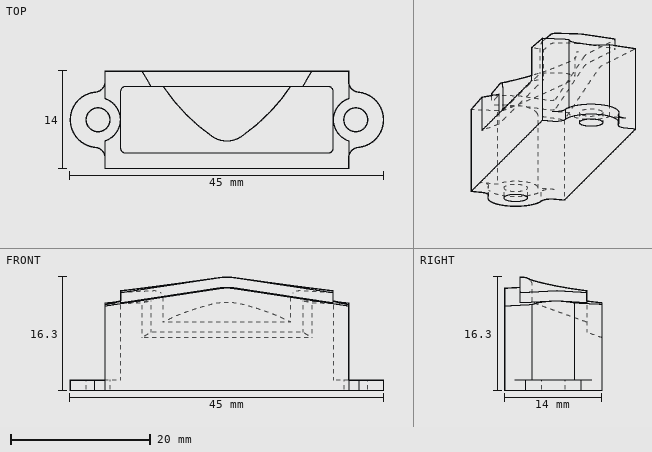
import cadquery as cq
import math

BODY_LENGTH = 35.0
BODY_WIDTH = 14.0

LUG_CENTER_X = 18.5
LUG_RADIUS = 4.0
LUG_THICKNESS = 1.5
LUG_FILLET = 1.5
SCREW_HOLE_DIAMETER = 3.4
HEAD_CLEARANCE_RADIUS = 3.2

PAD_LENGTH = 30.5
PAD_WIDTH = 9.6
PAD_CORNER_RADIUS = 0.75
PAD_RISE = 1.45

CREASE_TIP_Y = -4.5
CREASE_TIP_Z = 16.37
RIDGE_HALF_WIDTH = 1.0
FRONT_SIDE_SLOPE = 0.152
FRONT_RISE = 0.055
REAR_RIDGE_FALL = 0.155
EAVE_CREASE_Y = 2.0
REAR_EAVE_FALL = 0.05

VALLEY_TIP_Y = -3.05
VALLEY_TIP_RADIUS = 3.7
VALLEY_SIDE_ANGLE = 35.0
VALLEY_MOUTH_HALF = 9.15
VALLEY_EDGE_ROUND = 1.1
RIM_LOWEST_Z = 14.5
RIM_HALF_WIDTH = 7.0
RIM_TOLERANCE = 0.1
FLOOR_REAR_Z = 9.83
FLOOR_FALL = 0.36
BODY_VALLEY_INNER_HALF = 10.9
BODY_VALLEY_OUTER_HALF = 12.2

HALF_LENGTH = BODY_LENGTH / 2
REAR_Y = BODY_WIDTH / 2
PAD_REAR_Y = PAD_WIDTH / 2
MARGIN = 1.0
ABOVE_PART = CREASE_TIP_Z + MARGIN


def front_heights(y):
    """Virtual ridge height and eave height of the front gable at y."""
    ridge = CREASE_TIP_Z + FRONT_RISE * (y - CREASE_TIP_Y)
    return ridge, ridge - FRONT_SIDE_SLOPE * HALF_LENGTH


def rear_heights(y):
    """Virtual ridge height and eave height of the rear gable at y."""
    ridge = CREASE_TIP_Z - REAR_RIDGE_FALL * (y - CREASE_TIP_Y)
    eave_at_crease = front_heights(EAVE_CREASE_Y)[1]
    return ridge, eave_at_crease - REAR_EAVE_FALL * (y - EAVE_CREASE_Y)


def gable(heights):
    """Solid below a gable roof, ruled between its two end sections."""
    sections = []
    for y in (-REAR_Y, REAR_Y):
        ridge, eave = heights(y)
        slope = (ridge - eave) / HALF_LENGTH
        shoulder = ridge - slope * RIDGE_HALF_WIDTH
        crown = (ridge + shoulder) / 2
        section = (
            cq.Workplane("XZ", origin=(0, y, 0))
            .moveTo(-HALF_LENGTH, 0)
            .lineTo(HALF_LENGTH, 0)
            .lineTo(HALF_LENGTH, eave)
            .lineTo(RIDGE_HALF_WIDTH, shoulder)
            .threePointArc((0, crown), (-RIDGE_HALF_WIDTH, shoulder))
            .lineTo(-HALF_LENGTH, eave)
            .close()
        )
        sections.append(section.wire().val())
    return cq.Workplane(cq.Solid.makeLoft(sections, True))


def space_above_floor(rear_z):
    """Space above the sloping valley floor, which has height rear_z at the pad's rear edge."""
    low_y = REAR_Y + MARGIN
    high_y = -REAR_Y
    return (
        cq.Workplane("YZ")
        .moveTo(low_y, rear_z - FLOOR_FALL * (low_y - PAD_REAR_Y))
        .lineTo(low_y, ABOVE_PART)
        .lineTo(high_y, ABOVE_PART)
        .lineTo(high_y, rear_z - FLOOR_FALL * (high_y - PAD_REAR_Y))
        .close()
        .extrude(HALF_LENGTH, both=True)
    )


def pad_valley():
    """V-shaped scoop with a round tip, ending at the pad's rear edge."""
    angle = math.radians(VALLEY_SIDE_ANGLE)
    tangent_x = VALLEY_TIP_RADIUS * math.sin(angle)
    tangent_y = VALLEY_TIP_Y + VALLEY_TIP_RADIUS * (1 - math.cos(angle))
    chord_x = VALLEY_MOUTH_HALF - tangent_x
    chord_y = PAD_REAR_Y - tangent_y
    half_turn = math.atan2(chord_y, chord_x) - angle
    bulge = math.tan(half_turn / 2) / 2
    flank_mid_x = tangent_x + chord_x / 2 + bulge * chord_y
    flank_mid_y = tangent_y + chord_y / 2 - bulge * chord_x
    plan = (
        cq.Workplane("XY")
        .moveTo(-tangent_x, tangent_y)
        .threePointArc((0, VALLEY_TIP_Y), (tangent_x, tangent_y))
        .threePointArc((flank_mid_x, flank_mid_y), (VALLEY_MOUTH_HALF, PAD_REAR_Y))
        .lineTo(-VALLEY_MOUTH_HALF, PAD_REAR_Y)
        .threePointArc((-flank_mid_x, flank_mid_y), (-tangent_x, tangent_y))
        .close()
        .extrude(ABOVE_PART)
    )
    return plan.intersect(space_above_floor(FLOOR_REAR_Z))


def body_valley():
    """Wider continuation of the valley through the body behind the pad."""
    plan = (
        cq.Workplane("XY")
        .moveTo(-BODY_VALLEY_INNER_HALF, PAD_REAR_Y)
        .lineTo(BODY_VALLEY_INNER_HALF, PAD_REAR_Y)
        .lineTo(BODY_VALLEY_OUTER_HALF, REAR_Y)
        .lineTo(-BODY_VALLEY_OUTER_HALF, REAR_Y)
        .close()
        .extrude(ABOVE_PART)
    )
    return plan.intersect(space_above_floor(FLOOR_REAR_Z - PAD_RISE))


def make_pad(roof):
    """Rounded pad under the roof, with the valley's upper edges rounded over."""
    pad = (
        cq.Workplane("XY")
        .rect(PAD_LENGTH, PAD_WIDTH)
        .extrude(ABOVE_PART)
        .edges("|Z")
        .fillet(PAD_CORNER_RADIUS)
        .intersect(roof)
        .cut(pad_valley())
    )
    valley_rim = cq.selectors.BoxSelector(
        (-RIM_HALF_WIDTH, VALLEY_TIP_Y - RIM_TOLERANCE, RIM_LOWEST_Z),
        (RIM_HALF_WIDTH, PAD_REAR_Y, ABOVE_PART),
    )
    return pad.edges(valley_rim).fillet(VALLEY_EDGE_ROUND)


def space_below_base():
    """Block under the base plane, which trims the lowered roof solid."""
    return cq.Workplane("XY").rect(2 * BODY_LENGTH, 2 * BODY_WIDTH).extrude(-2 * PAD_RISE)


def lug(side):
    """Screw lug with fillets running into the end face; side is -1 or +1."""
    center_x = side * LUG_CENTER_X
    face_x = side * HALF_LENGTH
    fillet_x = face_x + side * LUG_FILLET
    fillet_y = math.sqrt((LUG_RADIUS + LUG_FILLET) ** 2 - (fillet_x - center_x) ** 2)
    web_length = LUG_FILLET + MARGIN
    web = (
        cq.Workplane("XY")
        .center(fillet_x - side * web_length / 2, 0)
        .rect(web_length, 2 * fillet_y)
        .extrude(LUG_THICKNESS)
    )
    fillet_cutters = (
        cq.Workplane("XY")
        .pushPoints([(fillet_x, fillet_y), (fillet_x, -fillet_y)])
        .circle(LUG_FILLET)
        .extrude(LUG_THICKNESS)
    )
    disc = cq.Workplane("XY").center(center_x, 0).circle(LUG_RADIUS).extrude(LUG_THICKNESS)
    return web.cut(fillet_cutters).union(disc)


def lug_cylinder(side, radius, bottom_z):
    """Upright cylinder on a lug's axis, from bottom_z past the top of the part."""
    return (
        cq.Workplane("XY", origin=(side * LUG_CENTER_X, 0, bottom_z))
        .circle(radius)
        .extrude(ABOVE_PART - bottom_z)
    )


roof = gable(front_heights).intersect(gable(rear_heights))
body = roof.translate((0, 0, -PAD_RISE)).cut(space_below_base())
pad = make_pad(roof)
result = body.cut(pad_valley()).union(pad).cut(body_valley())
for side in (-1, 1):
    result = result.cut(lug_cylinder(side, HEAD_CLEARANCE_RADIUS, LUG_THICKNESS))
    result = result.union(lug(side))
    result = result.cut(lug_cylinder(side, SCREW_HOLE_DIAMETER / 2, 0))